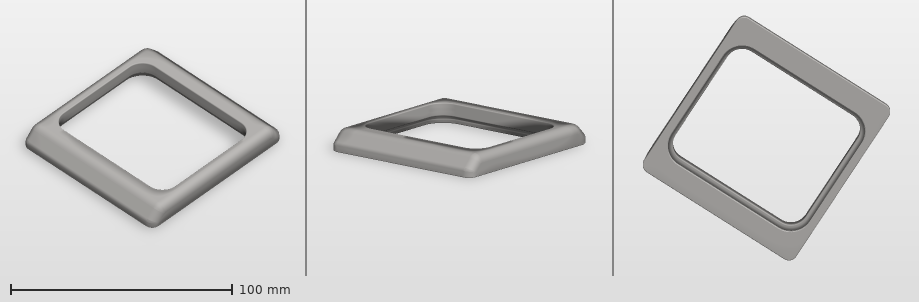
import cadquery as cq

width = 81.9
length = 85.0
height = 10.0

wall_height = 4.0
slope_run = height - wall_height
shoulder_radius = 5.0
side_radius = 4.0
crease_radius = 2.0
foot_chamfer = 0.3

window_width = 70.0
window_length = 59.0
window_corner_radius = 8.0
rim_radius = 0.5
lip_offset = 2.2
lip_height = 2.0
groove_offset = 3.0
groove_top = 3.8

select_margin = 0.1


def rounded_block(size_x, size_y, size_z, corner_radius):
    """Block standing on Z = 0 with rounded upright edges."""
    block = cq.Workplane("XY").box(size_x, size_y, size_z, centered=(True, True, False))
    return block.edges("|Z").fillet(corner_radius)


def outer_body():
    """Solid body with sloped front and back and rounded left and right sides."""
    half_length = length / 2
    half_top = half_length - slope_run
    body = (
        cq.Workplane("YZ")
        .polyline([
            (-half_length, 0),
            (half_length, 0),
            (half_length, wall_height),
            (half_top, height),
            (-half_top, height),
            (-half_length, wall_height),
        ])
        .close()
        .extrude(width / 2, both=True)
    )
    body = body.faces(">Z").edges("|X").fillet(shoulder_radius)
    body = body.faces("<X or >X").edges("not <Z").fillet(side_radius)
    crease = cq.selectors.BoxSelector(
        (-width, -length, wall_height - select_margin),
        (width, length, wall_height + select_margin),
    )
    return body.edges("|X").edges(crease).fillet(crease_radius)


def window_layer(offset, bottom, top):
    """Window shape grown outward by offset, filling the space between two heights."""
    layer = rounded_block(
        window_width + 2 * offset,
        window_length + 2 * offset,
        top - bottom,
        window_corner_radius + offset,
    )
    return layer.translate((0, 0, bottom))


def window():
    """Cutter for the window, the groove below its rim and the opening inside the lip."""
    opening = window_layer(0, 0, height)
    groove = window_layer(groove_offset, lip_height, groove_top)
    lip_opening = window_layer(lip_offset, 0, lip_height)
    return opening.union(groove).union(lip_opening)


def round_inner_edge(frame, offset, edge_height):
    """Round the edge loop that follows the window, grown by offset, at one height."""
    half_x = window_width / 2 + offset + select_margin
    half_y = window_length / 2 + offset + select_margin
    loop = cq.selectors.BoxSelector(
        (-half_x, -half_y, edge_height - select_margin),
        (half_x, half_y, edge_height + select_margin),
        boundingbox=True,
    )
    return frame.edges(loop).fillet(rim_radius)


result = outer_body().cut(window())
result = result.faces("<Z").edges().chamfer(foot_chamfer)
result = round_inner_edge(result, 0, height)
result = round_inner_edge(result, 0, groove_top)
result = round_inner_edge(result, lip_offset, lip_height)